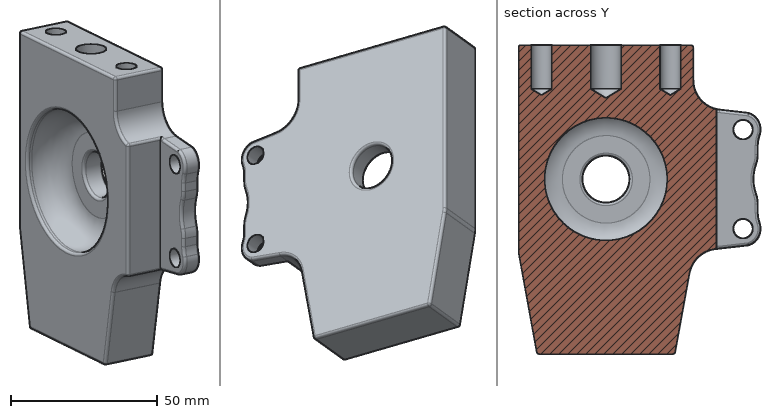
import cadquery as cq
import math


overall_height = 106
thickness = 20.0
half_width = 30.0
top_z = 46.0
bottom_z = top_z - overall_height
taper_start_z = -25.0
bottom_half_width = 23.6
edge_radius = 1.0
blend_radius = 10.0

lug_thickness = 6.5
step_x = 38.0
ear_x = 47.0
ear_z = 17.0
ear_radius = 6.0
ear_hole_diameter = 6.6
lug_slope = math.radians(6.5)
ear_start = math.radians(17.5)
lug_edge_x = 52.0
notch_depth = 1.5
notch_radius = 15.0

bore_diameter = 16.0
recess_floor_diameter = 30.0
recess_diameter = 50.0
recess_depth = 12.0

middle_hole_diameter = 10.4
side_hole_diameter = 7.0
side_hole_x = 22.0
drill_depth = 15.0
drill_point_angle = math.radians(118)

front_y = -thickness / 2
back_y = thickness / 2


def extrude_outline(sketch, y_start, y_end):
    """Extrude an XZ outline from y_start to y_end."""
    return sketch.extrude(-(y_end - y_start)).translate((0, y_start, 0))


def make_profile(y_start, y_end):
    """Whole outline of block and lug, with blended corners, from y_start to y_end."""
    slope_end_x = ear_x + ear_radius * math.sin(ear_start)
    slope_end_z = ear_z + ear_radius * math.cos(ear_start)
    root_z = slope_end_z + (slope_end_x - half_width) * math.tan(lug_slope)

    taper_run = (half_width - bottom_half_width) / (taper_start_z - bottom_z)
    slope = math.tan(lug_slope)
    lower_root_x = (
        half_width + taper_run * (-slope_end_z - slope_end_x * slope - taper_start_z)
    ) / (1 - taper_run * slope)
    lower_root_z = -slope_end_z - (slope_end_x - lower_root_x) * slope

    ear_blend = math.acos((lug_edge_x + blend_radius - ear_x) / (ear_radius + blend_radius))
    ear_end = (ear_x + ear_radius * math.cos(ear_blend), ear_z - ear_radius * math.sin(ear_blend))
    ear_tip = (ear_x + ear_radius, ear_z)
    straight_top_z = ear_z - (ear_radius + blend_radius) * math.sin(ear_blend)
    ear_blend_mid = (
        lug_edge_x + blend_radius * (1 - math.cos(ear_blend / 2)),
        straight_top_z + blend_radius * math.sin(ear_blend / 2),
    )
    notch_x = lug_edge_x - notch_depth
    notch_turn = math.acos(1 - notch_depth / (notch_radius + blend_radius))
    straight_end_z = (notch_radius + blend_radius) * math.sin(notch_turn)
    notch_end = (
        notch_x + notch_radius * (1 - math.cos(notch_turn)),
        notch_radius * math.sin(notch_turn),
    )
    notch_blend_mid = (
        lug_edge_x - blend_radius * (1 - math.cos(notch_turn / 2)),
        straight_end_z - blend_radius * math.sin(notch_turn / 2),
    )

    def mirrored(point):
        return (point[0], -point[1])

    outline = (
        cq.Workplane("XZ")
        .moveTo(-half_width, top_z)
        .lineTo(half_width, top_z)
        .lineTo(half_width, root_z)
        .lineTo(slope_end_x, slope_end_z)
        .threePointArc(ear_tip, ear_end)
        .threePointArc(ear_blend_mid, (lug_edge_x, straight_top_z))
        .lineTo(lug_edge_x, straight_end_z)
        .threePointArc(notch_blend_mid, notch_end)
        .threePointArc((notch_x, 0), mirrored(notch_end))
        .threePointArc(mirrored(notch_blend_mid), (lug_edge_x, -straight_end_z))
        .lineTo(lug_edge_x, -straight_top_z)
        .threePointArc(mirrored(ear_blend_mid), mirrored(ear_end))
        .threePointArc(mirrored(ear_tip), (slope_end_x, -slope_end_z))
        .lineTo(lower_root_x, lower_root_z)
        .lineTo(bottom_half_width, bottom_z)
        .lineTo(-bottom_half_width, bottom_z)
        .lineTo(-half_width, taper_start_z)
        .close()
    )
    profile = extrude_outline(outline, y_start, y_end)
    for x, z in ((half_width, root_z), (lower_root_x, lower_root_z), (-half_width, taper_start_z)):
        corner = cq.selectors.NearestToPointSelector((x, (y_start + y_end) / 2, z))
        profile = profile.edges("|Y").edges(corner).fillet(blend_radius)
    return profile.edges("|Y").edges(">Z or <Z").fillet(edge_radius)


def make_block():
    """Full-thickness part of the outline, up to the step, with all outside edges rounded."""
    beyond_step = (
        cq.Workplane("YZ", origin=(step_x, 0, 0))
        .rect(2 * thickness, 2 * overall_height)
        .extrude(overall_height)
    )
    block = make_profile(front_y, back_y).cut(beyond_step)
    block = block.edges("|Y").edges(">X").fillet(edge_radius)
    return block.faces("<Y or >Y").edges().fillet(edge_radius)


def make_lug():
    """Thin plate at the back over the whole outline; outside the block it forms the lug."""
    plate = make_profile(back_y - lug_thickness, back_y)
    plate = plate.faces("<Y or >Y").edges().fillet(edge_radius)
    holes = (
        cq.Workplane("XZ")
        .pushPoints([(ear_x, ear_z), (ear_x, -ear_z)])
        .circle(ear_hole_diameter / 2)
        .extrude(thickness, both=True)
    )
    return plate.cut(holes)


def make_recess():
    """Bowl and bore as one turned shape about the Y axis, with rounded rims."""
    bore_r = bore_diameter / 2
    floor_r = recess_floor_diameter / 2
    wall_r = recess_diameter / 2
    bowl_r = wall_r - floor_r
    floor_y = front_y + recess_depth
    diagonal = math.sqrt(0.5)
    return (
        cq.Workplane("XY")
        .moveTo(0, front_y)
        .lineTo(wall_r + edge_radius, front_y)
        .threePointArc(
            (wall_r + edge_radius * (1 - diagonal), front_y + edge_radius * (1 - diagonal)),
            (wall_r, front_y + edge_radius),
        )
        .lineTo(wall_r, floor_y - bowl_r)
        .threePointArc(
            (floor_r + bowl_r * diagonal, floor_y - bowl_r * (1 - diagonal)),
            (floor_r, floor_y),
        )
        .lineTo(bore_r + edge_radius, floor_y)
        .threePointArc(
            (bore_r + edge_radius * (1 - diagonal), floor_y + edge_radius * (1 - diagonal)),
            (bore_r, floor_y + edge_radius),
        )
        .lineTo(bore_r, back_y - edge_radius)
        .threePointArc(
            (bore_r + edge_radius * (1 - diagonal), back_y - edge_radius * (1 - diagonal)),
            (bore_r + edge_radius, back_y),
        )
        .lineTo(0, back_y)
        .close()
        .revolve(360, (0, 0, 0), (0, 1, 0))
    )


def make_drilled_hole(x, diameter):
    """Blind hole with a drill point, going down from the top face."""
    radius = diameter / 2
    point_length = radius / math.tan(drill_point_angle / 2)
    bottom = top_z - drill_depth
    return (
        cq.Workplane("XZ")
        .moveTo(0, top_z)
        .lineTo(radius, top_z)
        .lineTo(radius, bottom)
        .lineTo(0, bottom - point_length)
        .close()
        .revolve(360, (0, 0, 0), (0, 1, 0))
        .translate((x, 0, 0))
    )


result = make_block().union(make_lug()).cut(make_recess())
result = result.cut(make_drilled_hole(0, middle_hole_diameter))
for side in (-1, 1):
    result = result.cut(make_drilled_hole(side * side_hole_x, side_hole_diameter))